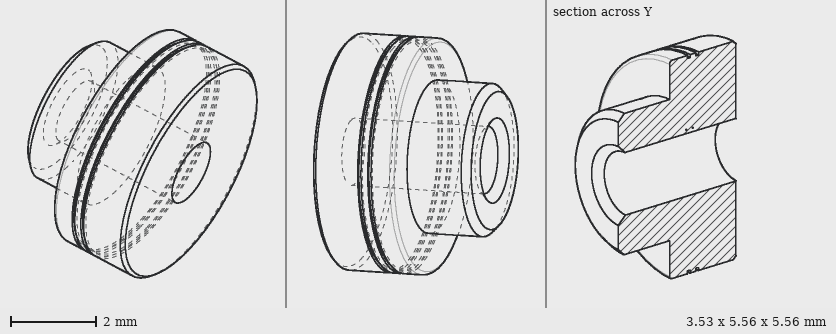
import cadquery as cq

total_length = 3.53
flange_length = 2.0
flange_diameter = 5.56
flange_edge_radius = 0.085
flange_edge_chamfer = 0.085
boss_length = total_length - flange_length
boss_diameter = 3.6
boss_chamfer = 0.18

bore_diameter = 1.58
bore_mouth_diameter = 2.0
bore_lead_in = (bore_mouth_diameter - bore_diameter) / 2

groove_count = 2
groove_width = 0.08
groove_depth = 0.075
groove_spacing = 0.25
first_groove_offset = 0.54

boss_face_x = -boss_length
flange_face_x = 0.0


def x_cylinder(start_x, length, diameter):
    """Solid cylinder along X, starting at start_x."""
    return cq.Workplane("YZ", origin=(start_x, 0, 0)).circle(diameter / 2).extrude(length)


def make_flange():
    flange = x_cylinder(flange_face_x, flange_length, flange_diameter)
    flange = flange.faces("<X").edges().fillet(flange_edge_radius)
    return flange.faces(">X").edges().chamfer(flange_edge_chamfer)


def make_boss():
    boss = x_cylinder(boss_face_x, boss_length, boss_diameter)
    return boss.faces("<X").edges().chamfer(boss_chamfer)


def make_groove_ring(start_x):
    outer = x_cylinder(start_x, groove_width, flange_diameter)
    core = x_cylinder(start_x, groove_width, flange_diameter - 2 * groove_depth)
    return outer.cut(core)


def make_bore():
    bore = x_cylinder(boss_face_x, total_length, bore_diameter)
    lead_in = cq.Workplane(
        cq.Solid.makeCone(
            bore_mouth_diameter / 2,
            bore_diameter / 2,
            bore_lead_in,
            pnt=cq.Vector(boss_face_x, 0, 0),
            dir=cq.Vector(1, 0, 0),
        )
    )
    return bore.union(lead_in)


result = make_flange().union(make_boss())
for groove_index in range(groove_count):
    groove_x = flange_face_x + first_groove_offset + groove_index * groove_spacing
    result = result.cut(make_groove_ring(groove_x))
result = result.cut(make_bore())